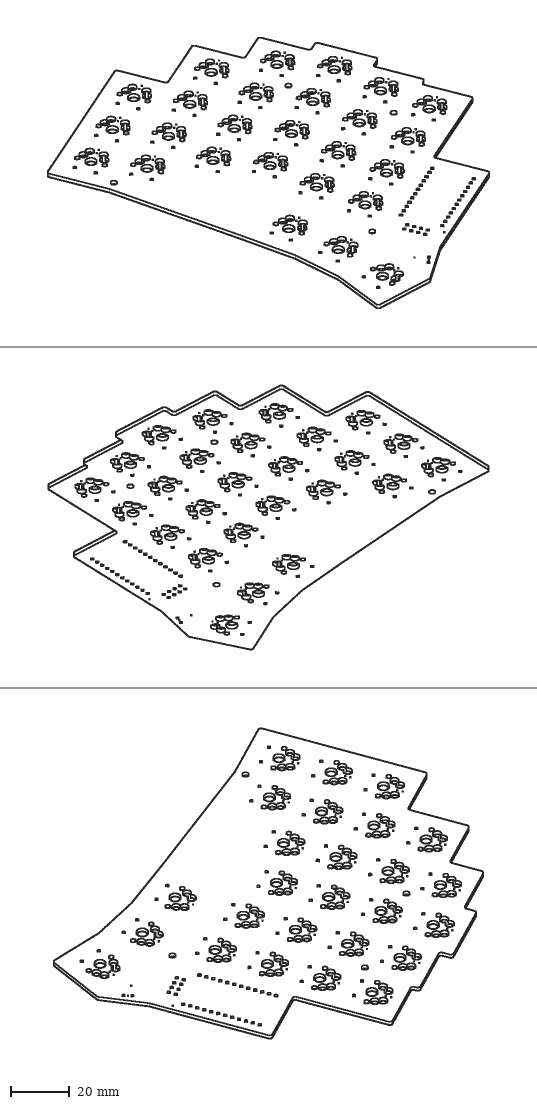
import cadquery as cq


thickness = 1.6
corner_radius = 1.0

key_pitch = 19.05
key_margin = 11.5
first_column_x = -59.77
columns = [
    (22.75, 11.03, 3),
    (45.4, 33.95, 4),
    (58.03, 46.5, 4),
    (62.755, 51.25, 4),
    (58.03, 46.5, 4),
    (55.2, 43.62, 4),
]
tallest_column = 3
thumb_keys = [
    (16.48, -35.5, 8),
    (36.45, -39.75, 16),
    (55.95, -47.58, 28),
]

wing_top_y = 19.5
wing_right_x = 67.9
wing_foot = (wing_right_x, -25.1)
thumb_tips = [(71.32, -42.6), (60.7, -63.11)]
outer_bottom_y = -38.66
bottom_bends = [(42.1, -53.4), (24.2, -48.27), (3.5, -45.33), (-48.2, outer_bottom_y)]
outer_corner = (first_column_x - key_margin, outer_bottom_y)

post_diameter = 3.99
peg_diameter = 1.7
peg_offset = 5.08
contact_diameter = 3.0
contact_offsets = [(2.54, 5.08), (3.81, 2.54)]
diode_diameter = 0.99
diode_offset = (3.81, -5.08)
via_diameter = 0.3
key_via_heights = [5.08, 7.0]

header_pitch = 2.54
controller_pins = 12
controller_row_spacing = 15.24
controller_left_x = 48.9
controller_top_y = 13.85
controller_left_diameter = 1.09
controller_right_diameter = 1.0
display_pins = 4
display_rows = 2
display_left_x = 52.9
display_top_y = -18.2
display_diameter = 0.99

mount_diameter = 2.2
mount_points = [(-48.2, -34.8), (-13.65, 37.2), (25.15, 37.05), (43.3, -26.1)]
button_diameter = 0.9
button_points = [(66.5, -31.75), (67.5, -34.6)]
loose_vias = [(66.05, -17.15), (67.0, -33.15), (62.05, -33.85)]


def column_x(column):
    """Centre line of a key column."""
    return first_column_x + column * key_pitch


def stepped_top():
    """Corners of the steps that follow the column tops, then the top of the controller wing."""
    corners = []
    for column, (edge_y, _, _) in enumerate(columns):
        left_x = column_x(column) - key_margin
        right_x = column_x(column) + key_margin
        if column <= tallest_column:
            corners.append((left_x, edge_y))
        if column >= tallest_column:
            corners.append((right_x, edge_y))
            next_edge_y = columns[column + 1][0] if column + 1 < len(columns) else wing_top_y
            corners.append((right_x, next_edge_y))
        else:
            next_left_x = column_x(column + 1) - key_margin
            corners.append((next_left_x, edge_y))
    return corners + [(wing_right_x, wing_top_y)]


def make_board():
    """Plate with stepped column tops and a fanned thumb edge; only the slight bends stay sharp."""
    steps = stepped_top()
    outline = steps + [wing_foot] + thumb_tips + bottom_bends + [outer_corner]
    board = cq.Workplane("XY").polyline(outline).close().extrude(thickness)
    corner_edges = cq.Workplane("XY")
    for x, y in steps + thumb_tips + [outer_corner]:
        corner_edges.add(board.edges(cq.NearestToPointSelector((x, y, thickness / 2))).val())
    return cq.Workplane(board.val().fillet(corner_radius, corner_edges.vals()))


def hole_cutter(points, diameter):
    """Round cutters as tall as the board is thick."""
    return cq.Workplane("XY").pushPoints(points).circle(diameter / 2).extrude(thickness)


def drill(board, points, diameter):
    """Drill round holes right through the board."""
    return board.cut(hole_cutter(points, diameter))


def key_points():
    """Centre and clockwise turn of every key."""
    keys = []
    for column, (_, top_y, count) in enumerate(columns):
        for row in range(count):
            keys.append((column_x(column), top_y - row * key_pitch, 0))
    return keys + thumb_keys


def mirrored(offsets):
    """Offsets on both sides of a key's centre line."""
    return [(side * x, y) for x, y in offsets for side in (-1, 1)]


def make_key_cutter():
    """All the holes of one switch, as one cutting tool."""
    holes = [
        ([(0, 0)], post_diameter),
        (mirrored([(peg_offset, 0)]), peg_diameter),
        (mirrored([diode_offset]), diode_diameter),
        ([(0, y) for y in key_via_heights], via_diameter),
    ]
    holes += [(mirrored([offset]), contact_diameter) for offset in contact_offsets]
    cutter = cq.Workplane("XY")
    for points, diameter in holes:
        cutter = cutter.union(hole_cutter(points, diameter))
    return cutter


def drill_keys(board):
    """Cut the switch holes at every key."""
    cutter = make_key_cutter()
    cutters = []
    for x, y, turn in key_points():
        turned = cutter.rotate((0, 0, 0), (0, 0, 1), -turn)
        cutters.append(turned.translate((x, y, 0)).val())
    return board.cut(cq.Workplane(cq.Compound.makeCompound(cutters)))


def pin_row(x, top_y, count):
    """Header pins running down from the top one."""
    return [(x, top_y - pin * header_pitch) for pin in range(count)]


def drill_controller(board):
    """Two rows of controller pins."""
    right_x = controller_left_x + controller_row_spacing
    left_row = pin_row(controller_left_x, controller_top_y, controller_pins)
    right_row = pin_row(right_x, controller_top_y, controller_pins)
    board = drill(board, left_row, controller_left_diameter)
    return drill(board, right_row, controller_right_diameter)


def drill_display(board):
    """Grid of display header pins."""
    points = []
    for pin in range(display_pins):
        points += pin_row(display_left_x + pin * header_pitch, display_top_y, display_rows)
    return drill(board, points, display_diameter)


result = make_board()
result = drill_keys(result)
result = drill_controller(result)
result = drill_display(result)
result = drill(result, mount_points, mount_diameter)
result = drill(result, button_points, button_diameter)
result = drill(result, loose_vias, via_diameter)